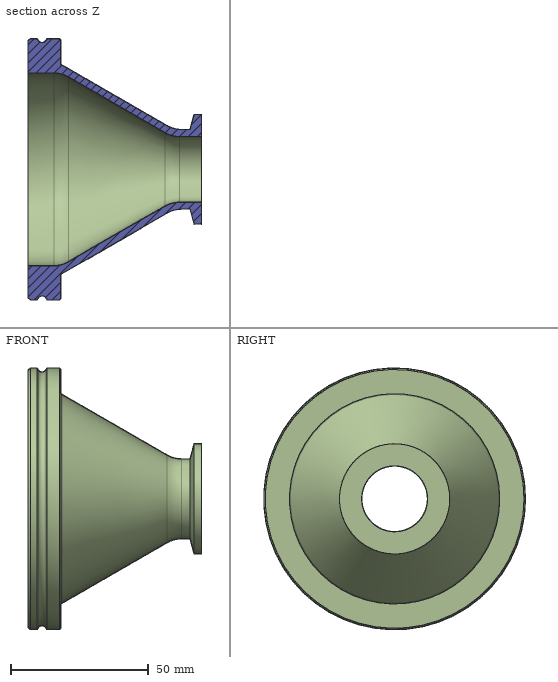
import cadquery as cq
import math

overall_length = 63.0
flange_radius = 47.5

flange_thickness = 12.0
face_chamfer_length = 0.95
face_chamfer_depth = 0.8
back_chamfer = 0.6
groove_center = 5.1
groove_mouth_width = 3.5
groove_floor_depth = 1.4
groove_bevel_length = 0.4
groove_bevel_depth = 0.7

cone_angle = math.radians(30)
bend_radius = 10.45
outer_cone_start = 12.4

neck_radius = 14.5
neck_bend_end = 55.7
small_flange_radius = 20.0
small_rim_thickness = 2.8
clamp_slope = math.radians(15)

large_bore_radius = 35.0
large_bore_depth = 9.4
small_bore_radius = 11.9

bend_length = bend_radius * math.sin(cone_angle)
bend_rise = bend_radius * (1 - math.cos(cone_angle))


def bend_point(tangent_x, tangent_radius, axial_offset, radial_sign):
    """Point on a bend, measured axially from where it meets its cylinder."""
    drop = bend_radius - math.sqrt(bend_radius**2 - axial_offset**2)
    return tangent_x + axial_offset, tangent_radius + radial_sign * drop


def outer_solid():
    """Flanges, groove, outer cone and neck as one solid of revolution."""
    groove_start = groove_center - groove_mouth_width / 2
    groove_end = groove_center + groove_mouth_width / 2
    bevel_radius = flange_radius - groove_bevel_depth

    neck_cone_x = neck_bend_end - bend_length
    neck_cone_radius = neck_radius + bend_rise
    cone_start_radius = neck_cone_radius + (neck_cone_x - outer_cone_start) * math.tan(cone_angle)

    wide_bend_x = outer_cone_start - bend_length
    wide_bend_radius = cone_start_radius + bend_rise
    emerging_offset = flange_thickness - wide_bend_x
    middle_offset = (emerging_offset + bend_length) / 2

    rim_x = overall_length - small_rim_thickness
    clamp_foot_x = rim_x - (small_flange_radius - neck_radius) * math.tan(clamp_slope)

    profile = (
        cq.Workplane("XY")
        .moveTo(0, 0)
        .lineTo(0, flange_radius - face_chamfer_depth)
        .lineTo(face_chamfer_length, flange_radius)
        .lineTo(groove_start, flange_radius)
        .lineTo(groove_start + groove_bevel_length, bevel_radius)
        .threePointArc(
            (groove_center, flange_radius - groove_floor_depth),
            (groove_end - groove_bevel_length, bevel_radius),
        )
        .lineTo(groove_end, flange_radius)
        .lineTo(flange_thickness - back_chamfer, flange_radius)
        .lineTo(flange_thickness, flange_radius - back_chamfer)
        .lineTo(*bend_point(wide_bend_x, wide_bend_radius, emerging_offset, -1))
        .threePointArc(
            bend_point(wide_bend_x, wide_bend_radius, middle_offset, -1),
            (outer_cone_start, cone_start_radius),
        )
        .lineTo(neck_cone_x, neck_cone_radius)
        .threePointArc(
            bend_point(neck_bend_end, neck_radius, -bend_length / 2, 1),
            (neck_bend_end, neck_radius),
        )
        .lineTo(clamp_foot_x, neck_radius)
        .lineTo(rim_x, small_flange_radius)
        .lineTo(overall_length, small_flange_radius)
        .lineTo(overall_length, 0)
        .close()
    )
    return profile.revolve(360, (0, 0), (1, 0))


def bore():
    """Cylinder, bend, cone, bend and cylinder forming the through passage."""
    cone_start_x = large_bore_depth + bend_length
    cone_start_radius = large_bore_radius - bend_rise
    cone_end_radius = small_bore_radius + bend_rise
    cone_end_x = cone_start_x + (cone_start_radius - cone_end_radius) / math.tan(cone_angle)
    small_bore_x = cone_end_x + bend_length

    profile = (
        cq.Workplane("XY")
        .moveTo(0, 0)
        .lineTo(0, large_bore_radius)
        .lineTo(large_bore_depth, large_bore_radius)
        .threePointArc(
            bend_point(large_bore_depth, large_bore_radius, bend_length / 2, -1),
            (cone_start_x, cone_start_radius),
        )
        .lineTo(cone_end_x, cone_end_radius)
        .threePointArc(
            bend_point(small_bore_x, small_bore_radius, -bend_length / 2, 1),
            (small_bore_x, small_bore_radius),
        )
        .lineTo(overall_length, small_bore_radius)
        .lineTo(overall_length, 0)
        .close()
    )
    return profile.revolve(360, (0, 0), (1, 0))


result = outer_solid().cut(bore())